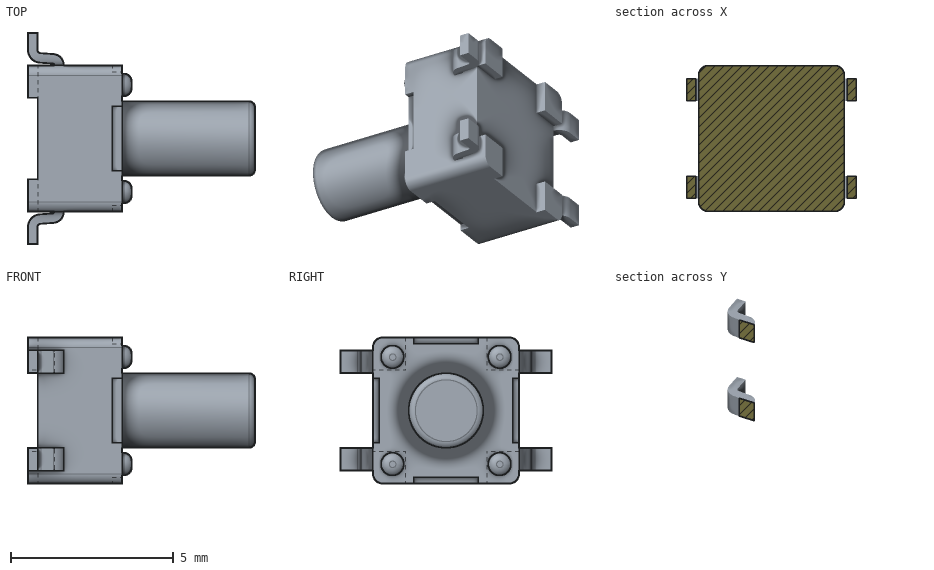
import cadquery as cq
import math


body_side = 4.5
body_height = 2.9
edge_radius = 0.3
foot_side = 1.0
foot_height = 0.3

frame_thickness = 0.3
frame_corner = 1.25
frame_setback = 0.2

overall_height = 7.0
button_diameter = 2.3
tip_radius = 0.2

rivet_radius = 0.35
rivet_height = 0.3
rivet_shoulder_radius = 0.25
rivet_offset = 1.65

lead_span = 6.5
lead_width = 0.7
lead_thickness = 0.3
lead_spacing = 3.0
foot_bend_inner = 0.1
foot_bend_outer = foot_bend_inner + lead_thickness
root_bend_inner = 0.05
root_bend_outer = root_bend_inner + lead_thickness
lead_slope = math.radians(4)
foot_bend_y = 2.73
lead_reach = 1.11
lead_root_y = 1.95


def box(x_range, y_range, z_range):
    """Axis-aligned block from its limits along each axis."""
    (x0, x1), (y0, y1), (z0, z1) = x_range, y_range, z_range
    return cq.Workplane("XY").box(x1 - x0, y1 - y0, z1 - z0, centered=False).translate((x0, y0, z0))


def make_housing():
    """Rounded block with a foot at each corner and a notched front frame."""
    half = body_side / 2
    housing = (
        cq.Workplane("YZ")
        .rect(body_side, body_side)
        .extrude(body_height)
        .edges("|X")
        .fillet(edge_radius)
    )

    foot_gap = half - foot_side
    channel_depth = (0, foot_height)
    housing = housing.cut(box(channel_depth, (-half, half), (-foot_gap, foot_gap)))
    housing = housing.cut(box(channel_depth, (-foot_gap, foot_gap), (-half, half)))

    frame_gap = half - frame_corner
    frame_depth = (body_height - frame_thickness, body_height)
    setback = box(frame_depth, (half - frame_setback, half), (-frame_gap, frame_gap))
    for quarter_turn in range(4):
        housing = housing.cut(setback.rotate((0, 0, 0), (1, 0, 0), 90 * quarter_turn))
    return housing


def make_button():
    """Cylinder along X with a rounded tip edge, rooted inside the frame."""
    root = body_height - frame_thickness
    return (
        cq.Workplane("YZ", origin=(root, 0, 0))
        .circle(button_diameter / 2)
        .extrude(overall_height - root)
        .faces(">X")
        .edges()
        .fillet(tip_radius)
    )


def make_rivet():
    """Rivet head centred on the X axis: a short rim under a rounded shoulder."""
    root = body_height - frame_thickness
    return (
        cq.Workplane("YZ", origin=(root, 0, 0))
        .circle(rivet_radius)
        .extrude(body_height + rivet_height - root)
        .faces(">X")
        .edges()
        .fillet(rivet_shoulder_radius)
    )


def make_lead():
    """Double-bent strip on the +Y side, centred on Z = 0."""
    foot_bend = (foot_bend_outer, foot_bend_y)
    root_bend_x = lead_reach - root_bend_outer

    centre_distance = foot_bend_outer + root_bend_inner
    run = root_bend_x - foot_bend[0]
    drop = centre_distance / math.cos(lead_slope) + run * math.tan(lead_slope)
    root_bend = (root_bend_x, foot_bend_y - drop)

    def on_bend(centre, radius, angle):
        return (centre[0] + radius * math.cos(angle), centre[1] + radius * math.sin(angle))

    foot_end = 1.5 * math.pi - lead_slope
    foot_mid = (math.pi + foot_end) / 2
    root_end = math.pi / 2 - lead_slope
    root_mid = root_end / 2

    return (
        cq.Workplane("XY")
        .moveTo(0, lead_span / 2)
        .lineTo(0, foot_bend_y)
        .threePointArc(
            on_bend(foot_bend, foot_bend_outer, foot_mid),
            on_bend(foot_bend, foot_bend_outer, foot_end),
        )
        .lineTo(*on_bend(root_bend, root_bend_inner, root_end))
        .threePointArc(
            on_bend(root_bend, root_bend_inner, root_mid),
            on_bend(root_bend, root_bend_inner, 0),
        )
        .lineTo(lead_reach - lead_thickness, lead_root_y)
        .lineTo(lead_reach, lead_root_y)
        .lineTo(*on_bend(root_bend, root_bend_outer, 0))
        .threePointArc(
            on_bend(root_bend, root_bend_outer, root_mid),
            on_bend(root_bend, root_bend_outer, root_end),
        )
        .lineTo(*on_bend(foot_bend, foot_bend_inner, foot_end))
        .threePointArc(
            on_bend(foot_bend, foot_bend_inner, foot_mid),
            on_bend(foot_bend, foot_bend_inner, math.pi),
        )
        .lineTo(lead_thickness, lead_span / 2)
        .close()
        .extrude(lead_width / 2, both=True)
    )


def add_rivets_and_leads(part):
    """One rivet and one lead for each corner of the switch."""
    rivet = make_rivet()
    lead = make_lead()
    mirrored_lead = lead.mirror("XZ")
    for z_side in (-1, 1):
        lead_z = z_side * lead_spacing / 2
        part = part.union(lead.translate((0, 0, lead_z)))
        part = part.union(mirrored_lead.translate((0, 0, lead_z)))
        for y_side in (-1, 1):
            part = part.union(rivet.translate((0, y_side * rivet_offset, z_side * rivet_offset)))
    return part


result = add_rivets_and_leads(make_housing().union(make_button()))